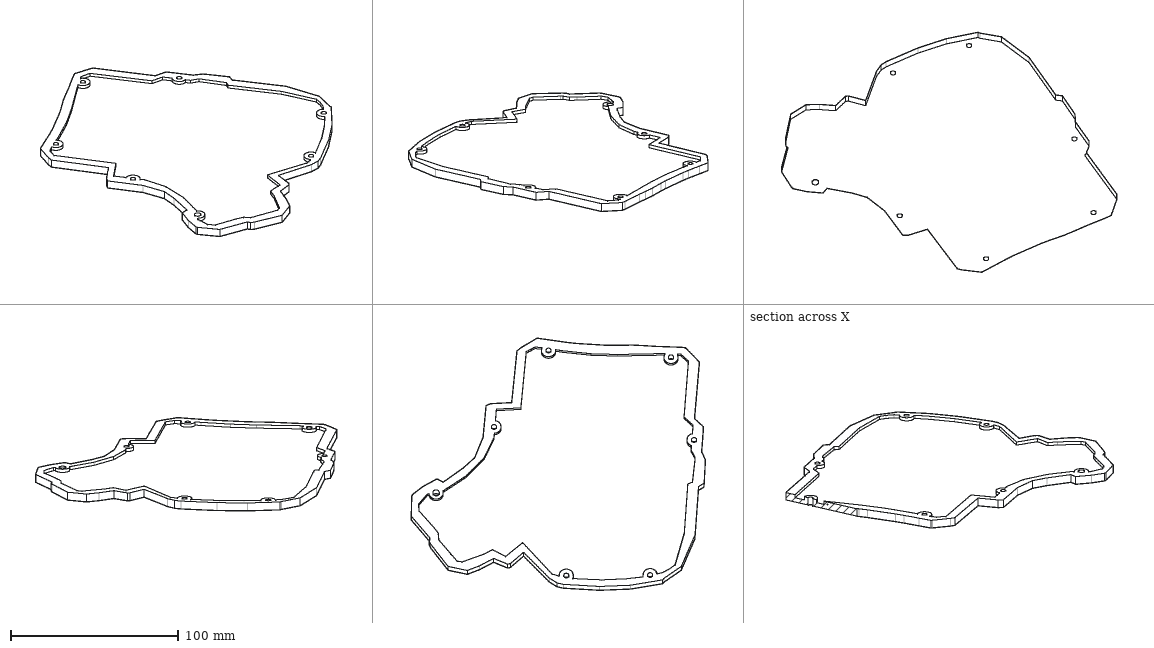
import cadquery as cq

plate_thickness = 5.0
pocket_depth = 2.0
floor_thickness = plate_thickness - pocket_depth

boss_radius = 4.3
small_hole_diameter = 3.0
large_hole_diameter = 4.0

screws = [
    ((8.5, 127.2), small_hole_diameter),
    ((59.5, 154.5), small_hole_diameter),
    ((155.0, 151.5), small_hole_diameter),
    ((167.7, 103.0), small_hole_diameter),
    ((22.0, 55.0), small_hole_diameter),
    ((80.5, 36.2), small_hole_diameter),
    ((132.4, 13.6), large_hole_diameter),
]

outer_top = [
    (0, 134.0), (7.3, 144.4), (45.3, 151.0), (49.5, 157.6), (66.0, 160.7),
    (70.8, 164.3), (86.5, 167.5), (89.5, 164.8), (122.0, 170.9), (144.7, 168.2),
]
outer_right = [
    (155.1, 160.2), (156.4, 159.6), (164.6, 141.9), (170.0, 124.1), (174.0, 102.8), (174.0, 98.9),
    (172.0, 93.7), (158.7, 74.3), (168.0, 68.6), (169.0, 67.2), (167.1, 58.0), (174.1, 51.0), (179.0, 44.8),
]
outer_thumb_end = [
    (179.1, 33.0), (167.0, 19.0), (165.2, 17.7), (163.0, 17.5), (151.4, 3.0),
    (138.1, 0), (137.0, 0.2), (130.0, 5.0), (123.0, 11.8),
]
outer_bottom = [
    (124.3, 16.0), (112.0, 25.3), (103.5, 30.1), (89.0, 31.5), (67.5, 28.0), (65.5, 30.5), (61.8, 42.3),
    (27.0, 36.7), (24.5, 38.3),
]
outer_left = [
    (16.3, 45.7), (15.5, 46.4), (14.9, 54.3), (14.0, 64.5), (13.3, 70.0), (10.0, 87.8), (8.8, 93.0),
    (6.1, 102.6), (4.7, 110.0), (3.5, 116.0), (0.4, 131.3),
]
outer_outline = outer_top + outer_right + outer_thumb_end + outer_bottom + outer_left

pocket_top = [
    (5.0, 132.4), (8.5, 138.0), (45.9, 144.7), (50.0, 151.4), (66.8, 154.5),
    (70.8, 158.0), (87.6, 160.5), (89.5, 158.2), (122.0, 164.3), (144.5, 164.3),
]
pocket_right = [
    (148.0, 162.0), (151.5, 158.4), (153.0, 155.9), (157.6, 146.9), (161.0, 138.3), (165.3, 124.3), (168.7, 107.3),
    (169.1, 98.3), (168.7, 94.4), (152.5, 72.2), (164.1, 64.7), (161.5, 55.9), (165.7, 51.8),
]
pocket_thumb_end = [
    (174.1, 40.3), (174.3, 37.3), (164.0, 24.2), (162.8, 23.1), (158.7, 21.7), (155.7, 18.3),
    (146.9, 6.8), (142.5, 5.4), (134.5, 8.8),
]
pocket_bottom = [
    (129.9, 17.5), (117.0, 28.1), (102.3, 35.6), (87.5, 38.0), (68.5, 34.5), (64.0, 48.5), (26.2, 42.3),
]
pocket_left = [
    (21.9, 46.5), (21.1, 50.5), (20.2, 62.7), (18.0, 80.6), (14.5, 95.8), (7.5, 121.0),
]
pocket_outline = pocket_top + pocket_right + pocket_thumb_end + pocket_bottom + pocket_left


def prism(outline, bottom, height):
    """Upright solid with a straight-sided outline."""
    return cq.Workplane("XY").workplane(offset=bottom).polyline(outline).close().extrude(height)


def cylinder(centre, radius, bottom, height):
    """Upright round solid."""
    return cq.Workplane("XY").workplane(offset=bottom).center(*centre).circle(radius).extrude(height)


result = prism(outer_outline, 0, plate_thickness)
result = result.cut(prism(pocket_outline, floor_thickness, pocket_depth))

for centre, _ in screws:
    result = result.union(cylinder(centre, boss_radius, floor_thickness, pocket_depth))

for centre, hole_diameter in screws:
    result = result.cut(cylinder(centre, hole_diameter / 2, 0, plate_thickness))